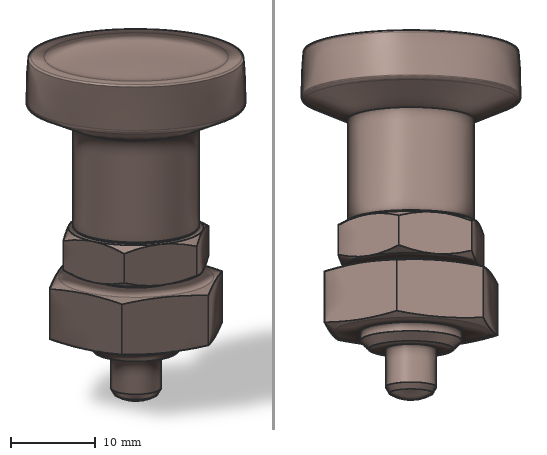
import cadquery as cq
import math

total_height = 43.6
pin_dome_top = 0.75
pin_shoulder = 1.5
collar_bottom = 6.05
lower_hex_bottom = 8.1
lower_hex_top = 15.1
upper_hex_bottom = 16.1
upper_hex_top = 21.1
sleeve_bottom = 49.0
knob_bottom = 33.75
rim_bottom = 36.25
rim_top = 42.07

pin_diameter = 6.0
pin_dome_diameter = 5.15
collar_diameter = 12.0
neck_diameter = 10.0
sleeve_diameter = 15.0
knob_diameter = 26.0
rim_top_diameter = 25.45
cap_diameter = 21.8

collar_chamfer = (collar_diameter - neck_diameter) / 2
sleeve_chamfer = 0.25
rim_top_fillet = 0.25
rim_bottom_fillet = 0.55
rim_bulge = 0.1

upper_hex_across_flats = 16.0
lower_hex_across_flats = 19.0
upper_hex_face_diameter = upper_hex_across_flats
lower_hex_face_diameter = 18.3
upper_hex_chamfer_angle = 30
lower_hex_chamfer_angle = 13


def cylinder(diameter, bottom, top):
    return cq.Workplane("XY").workplane(offset=bottom).circle(diameter / 2).extrude(top - bottom)


def revolve_about_z(profile):
    return profile.close().revolve(360, (0, 0, 0), (0, 1, 0))


def dome_midpoint(rim_radius, rim_z, apex_z):
    """Point halfway in angle along the spherical arc from the rim to the apex on the axis."""
    rise = apex_z - rim_z
    sphere_radius = (rim_radius**2 + rise**2) / (2 * rise)
    half_angle = math.asin(rim_radius / abs(sphere_radius)) / 2
    return (
        abs(sphere_radius) * math.sin(half_angle),
        apex_z - sphere_radius * (1 - math.cos(half_angle)),
    )


def chamfered_hex(across_flats, face_diameter, bottom, top, chamfer_angle):
    """Hexagon whose corners are cut by cones starting from a circle on each end face."""
    corner_radius = across_flats / math.sqrt(3)
    face_radius = face_diameter / 2
    drop = (corner_radius - face_radius) * math.tan(math.radians(chamfer_angle))
    prism = (
        cq.Workplane("XY")
        .workplane(offset=bottom)
        .polygon(6, 2 * corner_radius)
        .extrude(top - bottom)
        .rotate((0, 0, 0), (0, 0, 1), 30)
    )
    envelope = revolve_about_z(
        cq.Workplane("XZ")
        .moveTo(0, bottom)
        .lineTo(face_radius, bottom)
        .lineTo(corner_radius, bottom + drop)
        .lineTo(corner_radius, top - drop)
        .lineTo(face_radius, top)
        .lineTo(0, top)
    )
    return prism.intersect(envelope)


def locking_pin():
    """Pin with a tapered shoulder and a domed tip."""
    dome_radius = pin_dome_diameter / 2
    return revolve_about_z(
        cq.Workplane("XZ")
        .moveTo(0, collar_bottom)
        .lineTo(pin_diameter / 2, collar_bottom)
        .lineTo(pin_diameter / 2, pin_shoulder)
        .lineTo(dome_radius, pin_dome_top)
        .threePointArc(dome_midpoint(dome_radius, pin_dome_top, 0), (0, 0))
    )


def knob():
    """Knob with a conical underside, a slightly bulged rim and a domed cap."""
    rim_radius = knob_diameter / 2
    rim_top_radius = rim_top_diameter / 2
    cap_radius = cap_diameter / 2
    rim_middle = ((rim_radius + rim_top_radius) / 2 + rim_bulge, (rim_bottom + rim_top) / 2)
    body = revolve_about_z(
        cq.Workplane("XZ")
        .moveTo(0, knob_bottom)
        .lineTo(sleeve_diameter / 2, knob_bottom)
        .lineTo(rim_radius, rim_bottom)
        .threePointArc(rim_middle, (rim_top_radius, rim_top))
        .lineTo(0, rim_top)
    )
    body = body.faces(">Z").edges().fillet(rim_top_fillet)
    rim_edge = cq.selectors.BoxSelector(
        (-knob_diameter, -knob_diameter, rim_bottom - rim_bottom_fillet),
        (knob_diameter, knob_diameter, rim_bottom + rim_bottom_fillet),
        boundingbox=True,
    )
    body = body.edges(rim_edge).fillet(rim_bottom_fillet)
    cap = revolve_about_z(
        cq.Workplane("XZ")
        .moveTo(0, rim_top)
        .lineTo(cap_radius, rim_top)
        .threePointArc(dome_midpoint(cap_radius, rim_top, total_height), (0, total_height))
    )
    return body.union(cap)


collar = cylinder(collar_diameter, collar_bottom, lower_hex_bottom).faces("<Z").chamfer(collar_chamfer)
lower_hex = chamfered_hex(
    lower_hex_across_flats,
    lower_hex_face_diameter,
    lower_hex_bottom,
    lower_hex_top,
    lower_hex_chamfer_angle,
)
neck = cylinder(neck_diameter, lower_hex_top, upper_hex_bottom)
upper_hex = chamfered_hex(
    upper_hex_across_flats,
    upper_hex_face_diameter,
    upper_hex_bottom,
    upper_hex_top,
    upper_hex_chamfer_angle,
)
sleeve = cylinder(sleeve_diameter, upper_hex_top, knob_bottom).faces("<Z").chamfer(sleeve_chamfer)

result = locking_pin()
for section in (collar, lower_hex, neck, upper_hex, sleeve, knob()):
    result = result.union(section)